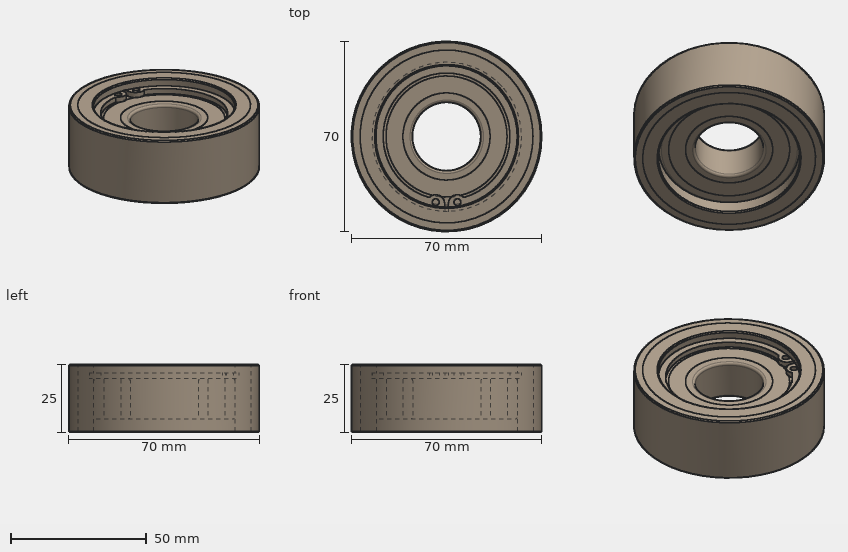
import cadquery as cq

outer_radius = 35.0
wheel_width = 25.0
edge_chamfer = 0.5
hub_radius = 31.8

bearing_radius = 26.0
bearing_width = 15.0
bearing_bore_radius = 12.5
bearing_fillet = 1.0
inner_ring_radius = 16.0
seal_radius = 22.25

clip_inner_radius = 23.3
clip_thickness = 2.0
groove_depth = 1.5
lug_radius = 3.3
lug_offset_x = 4.0
lug_y = -24.7
lug_hole_radius = 1.25
lug_hole_y = -24.15

wheel_top = wheel_width / 2
bearing_top = bearing_width / 2
clip_outer_radius = bearing_radius + groove_depth


def tube(outer, inner, height, bottom):
    """Plain ring around Z, from `bottom` upwards."""
    return cq.Workplane("XY").workplane(offset=bottom).circle(outer).circle(inner).extrude(height)


def make_tyre():
    ring = tube(outer_radius, hub_radius, wheel_width, -wheel_top)
    return ring.edges(cq.selectors.RadiusNthSelector(-1)).chamfer(edge_chamfer)


def make_hub():
    ring = tube(hub_radius, bearing_radius, wheel_width, -wheel_top)
    ring = ring.edges(cq.selectors.RadiusNthSelector(0)).chamfer(edge_chamfer)
    groove = tube(clip_outer_radius, clip_inner_radius, clip_thickness, bearing_top)
    return ring.cut(groove)


def make_bearing_outer_ring():
    ring = tube(bearing_radius, seal_radius, bearing_width, -bearing_top)
    return ring.edges(cq.selectors.RadiusNthSelector(-1)).fillet(bearing_fillet)


def make_bearing_seal():
    return tube(seal_radius, inner_ring_radius, bearing_width, -bearing_top)


def make_bearing_inner_ring():
    ring = tube(inner_ring_radius, bearing_bore_radius, bearing_width, -bearing_top)
    return ring.edges(cq.selectors.RadiusNthSelector(0)).fillet(bearing_fillet)


def make_retaining_ring():
    clip_plane = cq.Workplane("XY").workplane(offset=bearing_top)
    ring = tube(clip_outer_radius, clip_inner_radius, clip_thickness, bearing_top)

    opening = clip_plane.center(0, -clip_outer_radius).rect(2 * lug_offset_x, clip_outer_radius)
    ring = ring.cut(opening.extrude(clip_thickness))

    for side in (-1, 1):
        lug = clip_plane.center(side * lug_offset_x, lug_y).circle(lug_radius).extrude(clip_thickness)
        shank = (
            clip_plane.center(side * (lug_offset_x - lug_radius / 2), lug_y - lug_radius / 2)
            .rect(lug_radius, lug_radius)
            .extrude(clip_thickness)
        )
        ring = ring.union(lug).union(shank)

    ring = ring.intersect(clip_plane.circle(clip_outer_radius).extrude(clip_thickness))
    hole_places = [(-lug_offset_x, lug_hole_y), (lug_offset_x, lug_hole_y)]
    holes = clip_plane.pushPoints(hole_places).circle(lug_hole_radius).extrude(clip_thickness)
    return ring.cut(holes)


tyre = make_tyre()
hub = make_hub()
bearing_outer_ring = make_bearing_outer_ring()
bearing_seal = make_bearing_seal()
bearing_inner_ring = make_bearing_inner_ring()
retaining_ring = make_retaining_ring()

result = cq.Compound.makeCompound(
    [
        tyre.val(),
        hub.val(),
        bearing_outer_ring.val(),
        bearing_seal.val(),
        bearing_inner_ring.val(),
        *retaining_ring.solids().vals(),
    ]
)